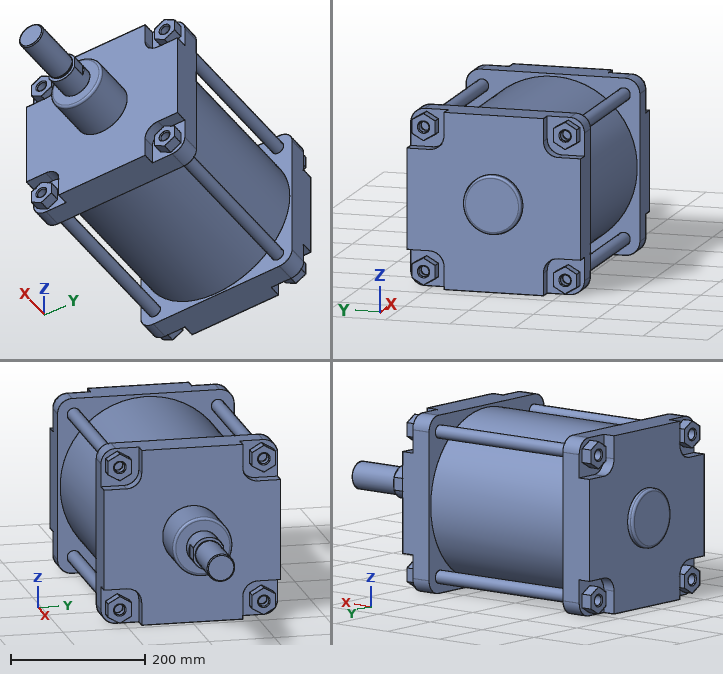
import cadquery as cq
import math


TOTAL_LENGTH = 561.0
CAP_SIDE = 270.0

CAP_THICKNESS = 51.0
CAP_CORNER_RADIUS = 22.5
POCKET_SIDE = 58.0
POCKET_DEPTH = 19.5
POCKET_RADIUS = 23.0
BOSS_DIAMETER = 90.5
BOSS_FILLET = 4.0
REAR_BOSS_LENGTH = 9.5
FRONT_BOSS_LENGTH = 70.0

BARREL_DIAMETER = 262.0
BARREL_LENGTH = 257.5

SHANK_DIAMETER = 50.0
FLATS_WIDTH = 46.0
FLATS_LENGTH = 22.0
THREAD_DIAMETER = 42.0
THREAD_LENGTH = 81.0
THREAD_CHAMFER = 1.5
UNDERCUT_DIAMETER = 39.0
UNDERCUT_LENGTH = 3.0

TIE_ROD_DIAMETER = 20.0
TIE_ROD_OFFSET = 110.0
NUT_FLATS_WIDTH = 36.0
NUT_THICKNESS = 17.0
NUT_BORE_DIAMETER = 15.5
NUT_BORE_CHAMFER = 1.5

rear_cap_outer = REAR_BOSS_LENGTH
barrel_start = rear_cap_outer + CAP_THICKNESS
barrel_end = barrel_start + BARREL_LENGTH
front_cap_outer = barrel_end + CAP_THICKNESS
thread_start = TOTAL_LENGTH - THREAD_LENGTH
shank_end = thread_start - UNDERCUT_LENGTH
flats_start = shank_end - FLATS_LENGTH
rear_nut_seat = rear_cap_outer + POCKET_DEPTH
front_nut_seat = front_cap_outer - POCKET_DEPTH

tie_rod_sides = (-TIE_ROD_OFFSET, TIE_ROD_OFFSET)
tie_rod_places = [(y, z) for y in tie_rod_sides for z in tie_rod_sides]


def section(x):
    """Workplane across the cylinder axis at station x, facing +X."""
    return cq.Workplane("YZ", origin=(x, 0, 0))


def disc(start, end, diameter):
    return section(start).circle(diameter / 2).extrude(end - start)


def make_end_cap(boss_length):
    """End cap with the tip of its boss at X = 0 and its inner face toward +X."""
    plate = section(boss_length).rect(CAP_SIDE, CAP_SIDE).extrude(CAP_THICKNESS)
    plate = plate.edges("|X").fillet(CAP_CORNER_RADIUS)

    pockets = (
        section(boss_length)
        .rect(CAP_SIDE, CAP_SIDE, forConstruction=True)
        .vertices()
        .rect(2 * POCKET_SIDE, 2 * POCKET_SIDE)
        .extrude(POCKET_DEPTH)
        .edges("|X")
        .fillet(POCKET_RADIUS)
    )
    hole_centers = section(boss_length).pushPoints(tie_rod_places)
    holes = hole_centers.circle(TIE_ROD_DIAMETER / 2).extrude(CAP_THICKNESS)
    boss = disc(0, boss_length, BOSS_DIAMETER).faces("<X").edges().fillet(BOSS_FILLET)
    return plate.cut(pockets).cut(holes).union(boss)


def make_rear_cap():
    return make_end_cap(REAR_BOSS_LENGTH)


def make_front_cap():
    """End cap turned round, with a bore that guides the piston rod."""
    boss_tip = front_cap_outer + FRONT_BOSS_LENGTH
    cap = make_end_cap(FRONT_BOSS_LENGTH).mirror("YZ").translate((boss_tip, 0, 0))
    return cap.cut(disc(barrel_end, boss_tip, SHANK_DIAMETER))


def make_barrel():
    return disc(barrel_start, barrel_end, BARREL_DIAMETER)


def make_piston_rod():
    """Piston rod from the barrel, through the front cap, to the threaded end."""
    shank = disc(barrel_end, flats_start, SHANK_DIAMETER)
    flats_limit = section(flats_start).rect(FLATS_WIDTH, SHANK_DIAMETER).extrude(FLATS_LENGTH)
    flats = disc(flats_start, shank_end, SHANK_DIAMETER).intersect(flats_limit)
    undercut = disc(shank_end, thread_start, UNDERCUT_DIAMETER)
    thread = disc(thread_start, TOTAL_LENGTH, THREAD_DIAMETER).faces(">X").chamfer(THREAD_CHAMFER)
    return shank.union(flats).union(undercut).union(thread)


def make_nut(start):
    """Hexagonal nut with two flats facing +Y and -Y and a chamfered bore."""
    corner_diameter = NUT_FLATS_WIDTH / math.cos(math.pi / 6)
    nut = section(start).transformed(rotate=(0, 0, 90)).polygon(6, corner_diameter).extrude(NUT_THICKNESS)
    bore = disc(start, start + NUT_THICKNESS, NUT_BORE_DIAMETER)
    return nut.cut(bore).edges("%CIRCLE").chamfer(NUT_BORE_CHAMFER)


def make_tie_rod():
    """Tie rod on the X axis, ending at the seats of its two nuts."""
    rod = disc(rear_nut_seat, front_nut_seat, TIE_ROD_DIAMETER)
    return rod.union(make_nut(rear_nut_seat - NUT_THICKNESS)).union(make_nut(front_nut_seat))


rear_cap = make_rear_cap()
front_cap = make_front_cap()
barrel = make_barrel()
piston_rod = make_piston_rod()
tie_rods = [make_tie_rod().translate((0, y, z)) for y, z in tie_rod_places]

result = cq.Compound.makeCompound([
    rear_cap.val(),
    front_cap.val(),
    barrel.val(),
    piston_rod.val(),
    *[tie_rod.val() for tie_rod in tie_rods],
])